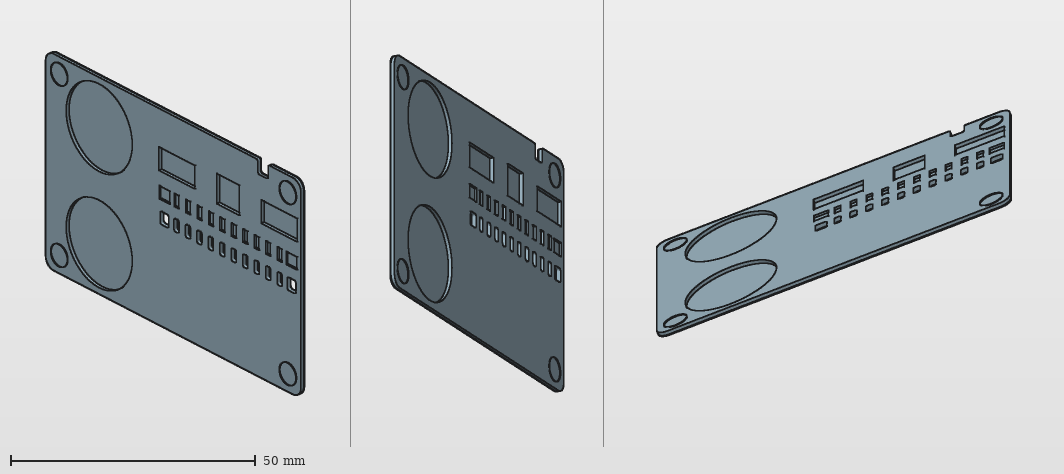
import cadquery as cq

card_width = 78.0
card_height = 50.0
card_thickness = 1.02
corner_radius = 2.5
backing_thickness = 0.2
backing_inset = 0.05
front_layer_thickness = card_thickness - backing_thickness
front_y = -card_thickness / 2

notch_width = 3.1
notch_depth = 3.3
notch_centre_x = 27.4
notch_radius = 0.5

cell_diameter = 20.2
cell_depth = front_layer_thickness
cell_x = -22.6
cell_z = 13.4
magnet_diameter = 5.1
magnet_depth = 0.2
magnet_x = 34.9
magnet_z = 20.9

layout_x = 16.72

component_depth = front_layer_thickness
component_z = 13.4
side_component_width = 11.0
side_component_height = 5.4
side_component_offset = 15.6
middle_component_size = 6.95

column_count = 10
column_pitch = 3.5
row_height = 3.0
pocket_slot_width = 1.4
window_slot_width = 1.5
end_offset = 19.4
pocket_row_z = 5.7
pocket_row_depth = 0.5
end_pocket_width = 3.3
window_row_z = 0.0
end_window_width = 2.6
window_radius = 0.5


def prism(width, height, depth, x, z):
    """Box sunk from the front face, centred at (x, z)."""
    box = cq.Workplane("XY").box(width, depth, height)
    return box.translate((x, front_y + depth / 2, z))


def disc(diameter, depth, x, z):
    """Cylinder sunk from the front face, centred at (x, z)."""
    plane = cq.Workplane("XZ", origin=(x, front_y, z))
    return plane.circle(diameter / 2).extrude(-depth)


def window(width, x):
    """Through opening with rounded corners in the window row."""
    return prism(width, row_height, card_thickness, x, window_row_z).edges("|Y").fillet(window_radius)


def cut_notch(layer, inset):
    """Cut the edge notch, its walls moved outwards by the inset, and round its four corners."""
    top_z = card_height / 2 - inset
    floor_z = card_height / 2 - notch_depth - inset
    half_width = notch_width / 2 + inset
    cutter = prism(2 * half_width, 2 * (top_z - floor_z), card_thickness, notch_centre_x, top_z)
    layer = layer.cut(cutter)
    for wall_x in (notch_centre_x - half_width, notch_centre_x + half_width):
        for corner_z in (top_z, floor_z):
            nearest = cq.selectors.NearestToPointSelector((wall_x, 0, corner_z))
            layer = layer.edges("|Y").edges(nearest).fillet(notch_radius)
    return layer


def make_layer(thickness, inset):
    """Notched card outline, shrunk by the inset and extruded back from the front face."""
    layer = prism(card_width - 2 * inset, card_height - 2 * inset, thickness, 0, 0)
    layer = layer.edges("|Y").fillet(corner_radius - inset)
    return cut_notch(layer, inset)


def make_card():
    front_layer = make_layer(front_layer_thickness, 0)
    full_depth_core = make_layer(card_thickness, backing_inset)
    return front_layer.union(full_depth_core)


def cut_round_pockets(body):
    for z_side in (-1, 1):
        body = body.cut(disc(cell_diameter, cell_depth, cell_x, z_side * cell_z))
        for x_side in (-1, 1):
            body = body.cut(disc(magnet_diameter, magnet_depth, x_side * magnet_x, z_side * magnet_z))
    return body


def cut_component_pockets(body):
    body = body.cut(
        prism(middle_component_size, middle_component_size, component_depth, layout_x, component_z)
    )
    for side in (-1, 1):
        x = layout_x + side * side_component_offset
        body = body.cut(
            prism(side_component_width, side_component_height, component_depth, x, component_z)
        )
    return body


def cut_rows(body):
    for column in range(column_count):
        x = layout_x + (column - (column_count - 1) / 2) * column_pitch
        body = body.cut(prism(pocket_slot_width, row_height, pocket_row_depth, x, pocket_row_z))
        body = body.cut(window(window_slot_width, x))
    for side in (-1, 1):
        x = layout_x + side * end_offset
        body = body.cut(prism(end_pocket_width, row_height, pocket_row_depth, x, pocket_row_z))
        body = body.cut(window(end_window_width, x))
    return body


result = make_card()
result = cut_round_pockets(result)
result = cut_component_pockets(result)
result = cut_rows(result)